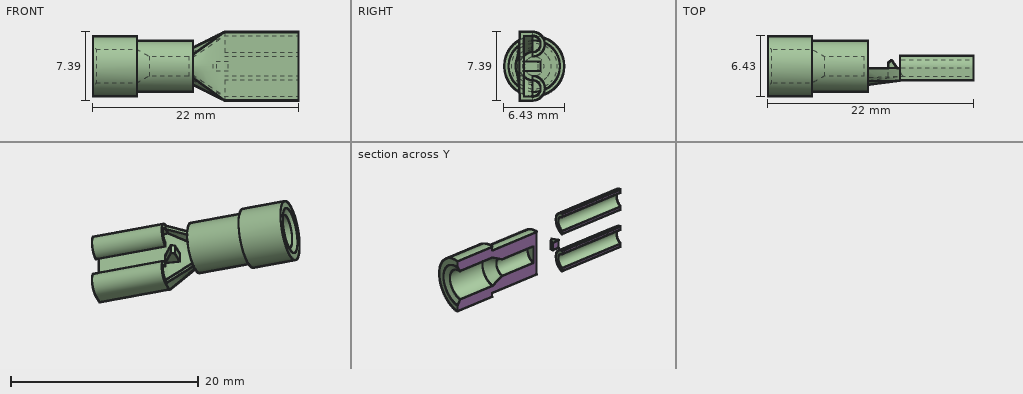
import cadquery as cq
import math


total_length = 21.97
sleeve_length = 4.73
barrel_end = 10.69
receptacle_start = 14.1

sleeve_radius = 6.43 / 2
barrel_radius = 2.74
mouth_radius = 2.44
wire_bore_radius = 1.78
core_bore_radius = 1.03
mouth_depth = 0.36
wire_bore_end = sleeve_length
funnel_depth = 1.3

sheet = 0.45
receptacle_half_width = 7.39 / 2
outer_floor_y = -1.55
rim_y = -0.2
curl_radius = 1.33
curl_center_z = receptacle_half_width - curl_radius
corner_chamfer = 0.1
trough_radius = 2.0
trough_corner_z = 1.24

core_bore_end = barrel_end - sheet

stop_width = 1.0
stop_back_x = 12.85
stop_shoulder_y = 0.38
stop_tip = (13.21, 0.67)
stop_base_y = outer_floor_y + sheet / 2
stop_slope_angle = math.radians(55)


def make_barrel():
    """Stepped round barrel with a tapered mouth and a funnelled blind wire bore."""
    outline = [
        (0, mouth_radius),
        (0, sleeve_radius),
        (sleeve_length, sleeve_radius),
        (sleeve_length, barrel_radius),
        (barrel_end, barrel_radius),
        (barrel_end, 0),
        (core_bore_end, 0),
        (core_bore_end, core_bore_radius),
        (wire_bore_end + funnel_depth, core_bore_radius),
        (wire_bore_end, wire_bore_radius),
        (mouth_depth, wire_bore_radius),
    ]
    return cq.Workplane("XY").polyline(outline).close().revolve(360, (0, 0), (1, 0))


def trough_loft(inset):
    """Ruled transition from a cut round section to a rectangle, both inset by the given amount."""
    radius = trough_radius - inset
    corner_angle = math.asin(trough_corner_z / trough_radius)
    rim_angle = math.acos(-rim_y / radius)
    half_width = receptacle_half_width - inset
    floor_y = outer_floor_y + inset

    def on_circle(angle):
        return (-radius * math.cos(angle), radius * math.sin(angle))

    angles = [rim_angle, corner_angle, 0, -corner_angle, -rim_angle]
    round_section = cq.Workplane("YZ", origin=(barrel_end, 0, 0)).moveTo(*on_circle(rim_angle))
    for start, end in zip(angles, angles[1:]):
        round_section = round_section.threePointArc(on_circle((start + end) / 2), on_circle(end))

    flat_points = [
        (rim_y, half_width),
        (floor_y, half_width),
        (floor_y, 0),
        (floor_y, -half_width),
        (rim_y, -half_width),
    ]
    flat_section = cq.Workplane("YZ", origin=(receptacle_start, 0, 0)).polyline(flat_points)
    wires = [section.close().val() for section in (round_section, flat_section)]
    return cq.Workplane(cq.Solid.makeLoft(wires, True))


def make_trough():
    """Open trough joining the barrel to the receptacle."""
    return trough_loft(0).cut(trough_loft(sheet))


def make_curl(side):
    """Half-round rolled edge on the +Z (side = 1) or -Z (side = -1) wall."""
    center_z = side * curl_center_z
    inner_radius = curl_radius - sheet
    return (
        cq.Workplane("YZ", origin=(receptacle_start, 0, 0))
        .moveTo(rim_y, center_z + curl_radius)
        .threePointArc((rim_y + curl_radius, center_z), (rim_y, center_z - curl_radius))
        .lineTo(rim_y, center_z - inner_radius)
        .threePointArc((rim_y + inner_radius, center_z), (rim_y, center_z + inner_radius))
        .close()
        .extrude(total_length - receptacle_start)
    )


def make_receptacle():
    """Flat channel with chamfered outer corners and two inward rolled edges."""
    length = total_length - receptacle_start
    height = rim_y - outer_floor_y
    width = 2 * receptacle_half_width
    channel = (
        cq.Workplane("XY")
        .box(length, height, width, centered=(False, False, True))
        .edges("|X and <Y")
        .chamfer(corner_chamfer)
    )
    cavity = (
        cq.Workplane("XY", origin=(0, sheet, 0))
        .box(length, height, width - 2 * sheet, centered=(False, False, True))
    )
    channel = channel.cut(cavity).translate((receptacle_start, outer_floor_y, 0))
    for side in (1, -1):
        channel = channel.union(make_curl(side))
    return channel


def make_stop():
    """Pointed tongue that limits how far the mating tab can be pushed in."""
    tip_x, tip_y = stop_tip
    toe_x = tip_x + (tip_y - stop_base_y) / math.tan(stop_slope_angle)
    outline = [
        (stop_back_x, stop_base_y),
        (stop_back_x, stop_shoulder_y),
        stop_tip,
        (toe_x, stop_base_y),
    ]
    return cq.Workplane("XY").polyline(outline).close().extrude(stop_width / 2, both=True)


result = make_barrel().union(make_trough()).union(make_receptacle()).union(make_stop())